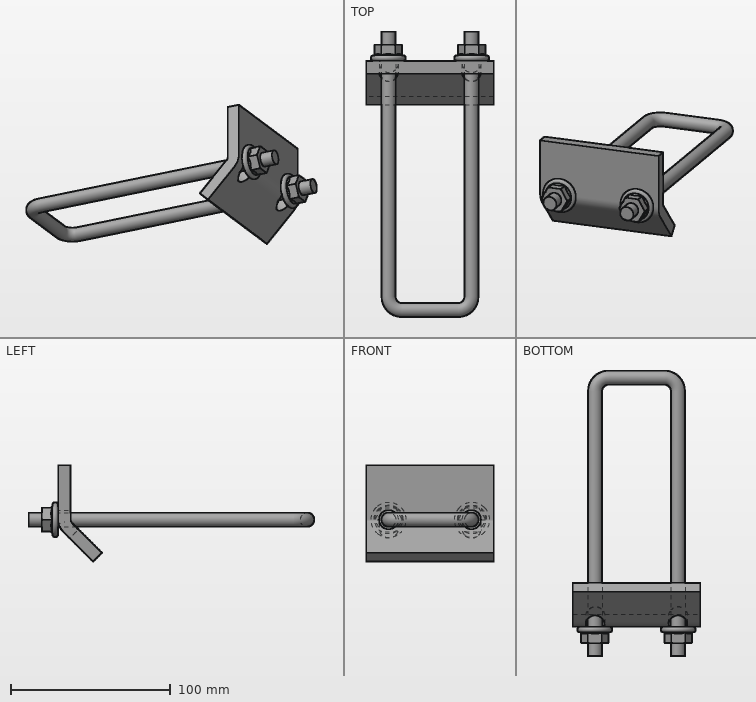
import cadquery as cq
import math

total_length = 178.9
rod_diameter = 9.0
rod_spacing = 51.9
rod_bend_radius = 8.4

plate_width = 80.0
plate_thickness = 7.9
plate_back = -18.5
plate_top = 34.2
plate_bend_radius = 2.7
plate_bend_angle = 45.0
lower_leg_length = 26.7
hole_diameter = 12.0
leg_hole_width = 11.8

nut_spacing = 52.2
nut_tip = -8.2
nut_across_flats = 15.0
nut_chamfer = 0.4
flange_diameter = 22.0
flange_thickness = 3.5
flange_cone_height = 0.9

plate_front = plate_back - plate_thickness
bend_center_y = plate_front - plate_bend_radius
bend_angle = math.radians(plate_bend_angle)
rod_radius = rod_diameter / 2
side_positions = (-rod_spacing / 2, rod_spacing / 2)
flange_top = plate_back + flange_thickness
nut_corner_radius = nut_across_flats / 2 / math.cos(math.radians(30))


def bent_plate():
    """Flat upper leg, rounded bend and slanted lower leg, extruded along X."""
    outer_radius = plate_bend_radius + plate_thickness

    def bend_point(radius, turn):
        return (bend_center_y + radius * math.cos(turn), -radius * math.sin(turn))

    def leg_tip(radius):
        y, z = bend_point(radius, bend_angle)
        return (y - lower_leg_length * math.sin(bend_angle), z - lower_leg_length * math.cos(bend_angle))

    return (
        cq.Workplane("YZ")
        .moveTo(plate_front, plate_top)
        .lineTo(plate_back, plate_top)
        .lineTo(plate_back, 0)
        .threePointArc(
            bend_point(outer_radius, bend_angle / 2),
            bend_point(outer_radius, bend_angle),
        )
        .lineTo(*leg_tip(outer_radius))
        .lineTo(*leg_tip(plate_bend_radius))
        .lineTo(*bend_point(plate_bend_radius, bend_angle))
        .threePointArc(bend_point(plate_bend_radius, bend_angle / 2), (plate_front, 0))
        .close()
        .extrude(plate_width / 2, both=True)
    )


def rod_holes():
    """Clearance holes through the whole plate, parallel to the rods."""
    return (
        cq.Workplane("XZ", origin=(0, plate_back, 0))
        .pushPoints([(x, 0) for x in side_positions])
        .circle(hole_diameter / 2)
        .extrude(total_length)
    )


def leg_hole(x):
    """Opening normal to the lower leg that looks round along the rod axis."""
    leg_plane_y = bend_center_y + plate_bend_radius / math.cos(bend_angle)
    plane = cq.Plane(
        origin=(x, leg_plane_y, 0),
        xDir=(1, 0, 0),
        normal=(0, math.cos(bend_angle), -math.sin(bend_angle)),
    )
    return (
        cq.Workplane(plane)
        .ellipse(leg_hole_width / 2, leg_hole_width / 2 / math.cos(bend_angle))
        .extrude(2 * plate_thickness)
    )


def u_bolt():
    """Round rod swept along a U with two rounded corners."""
    left, right = side_positions
    cross_bar_y = rod_radius - total_length
    bend_start_y = cross_bar_y + rod_bend_radius
    corner_offset = rod_bend_radius * (1 - math.sqrt(0.5))
    path = (
        cq.Workplane("XY")
        .moveTo(left, 0)
        .lineTo(left, bend_start_y)
        .threePointArc(
            (left + corner_offset, cross_bar_y + corner_offset),
            (left + rod_bend_radius, cross_bar_y),
        )
        .lineTo(right - rod_bend_radius, cross_bar_y)
        .threePointArc(
            (right - corner_offset, cross_bar_y + corner_offset),
            (right, bend_start_y),
        )
        .lineTo(right, 0)
    )
    return cq.Workplane("XZ", origin=(left, 0, 0)).circle(rod_radius).sweep(path)


def flange_nut(x):
    """Hexagon nut with chamfered tip and a round-edged flange against the plate."""
    hexagon = (
        cq.Workplane("XZ", origin=(0, nut_tip, 0))
        .polygon(6, 2 * nut_corner_radius)
        .extrude(nut_tip - plate_back)
    )
    tip_radius = nut_corner_radius - nut_chamfer
    chamfer_envelope = (
        cq.Workplane("XY")
        .moveTo(0, plate_back)
        .lineTo(nut_corner_radius, plate_back)
        .lineTo(nut_corner_radius, nut_tip - nut_chamfer)
        .lineTo(tip_radius, nut_tip)
        .lineTo(0, nut_tip)
        .close()
        .revolve(360, (0, 0), (0, 1))
    )
    edge_radius = flange_thickness / 2
    flat_radius = flange_diameter / 2 - edge_radius
    flange = (
        cq.Workplane("XY")
        .moveTo(0, plate_back)
        .lineTo(flat_radius, plate_back)
        .threePointArc(
            (flange_diameter / 2, plate_back + edge_radius),
            (flat_radius, flange_top),
        )
        .lineTo(nut_corner_radius, flange_top)
        .lineTo(nut_across_flats / 2, flange_top + flange_cone_height)
        .lineTo(0, flange_top + flange_cone_height)
        .close()
        .revolve(360, (0, 0), (0, 1))
    )
    return hexagon.intersect(chamfer_envelope).union(flange).translate((x, 0, 0))


result = bent_plate().cut(rod_holes())
for hole_x in side_positions:
    result = result.cut(leg_hole(hole_x))
result = result.union(u_bolt())
for nut_x in (-nut_spacing / 2, nut_spacing / 2):
    result = result.union(flange_nut(nut_x))